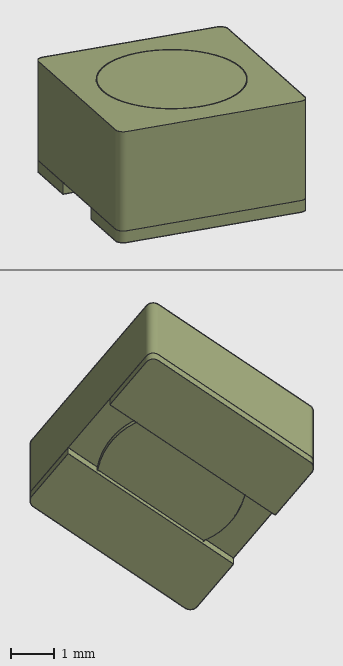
import cadquery as cq

side = 4.8
total_height = 2.8
corner_radius = 0.2

terminal_height = 0.3
terminal_gap = 1.605

core_diameter = 3.47
core_clearance = 0.015
core_protrusion = 0.12

core_bottom = terminal_height - core_protrusion
bore_diameter = core_diameter + 2 * core_clearance


def rounded_block(bottom, height):
    """Square block with rounded vertical corners."""
    return (
        cq.Workplane("XY")
        .workplane(offset=bottom)
        .rect(side, side)
        .extrude(height)
        .edges("|Z")
        .fillet(corner_radius)
    )


def cylinder_to_top(diameter):
    """Upright cylinder from the core's bottom to the top face."""
    return (
        cq.Workplane("XY")
        .workplane(offset=core_bottom)
        .circle(diameter / 2)
        .extrude(total_height - core_bottom)
    )


def make_housing(bore):
    return rounded_block(terminal_height, total_height - terminal_height).cut(bore)


def make_terminal(x_direction, bore):
    """Plate on one side of the gap, recessed for the protruding core."""
    width = (side - terminal_gap) / 2
    center_x = x_direction * (terminal_gap + width) / 2
    footprint = cq.Workplane("XY").center(center_x, 0).rect(width, side).extrude(terminal_height)
    return rounded_block(0, terminal_height).intersect(footprint).cut(bore)


bore_cutter = cylinder_to_top(bore_diameter)
housing = make_housing(bore_cutter)
core = cylinder_to_top(core_diameter)
terminals = [make_terminal(x_direction, bore_cutter) for x_direction in (-1, 1)]

result = cq.Compound.makeCompound(
    [housing.solids().val(), core.val(), *[terminal.solids().val() for terminal in terminals]]
)